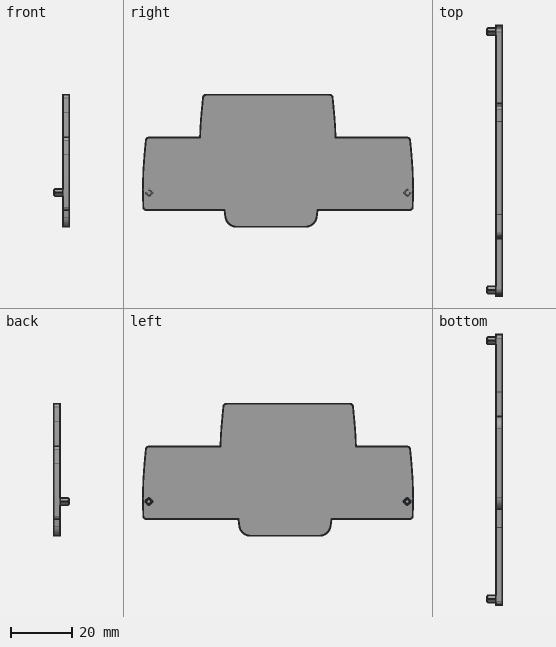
import cadquery as cq
import math

PLATE_THICKNESS = 2.1
PLATE_WIDTH = 88.22
PLATE_HEIGHT = 43.1
SIDE = PLATE_WIDTH / 2

LEAN_ANGLE = math.radians(5.5)
LEAN_RADIUS = 120.0
LEAN_ARC_HEIGHT = LEAN_RADIUS * math.sin(LEAN_ANGLE)

WING_BOTTOM = 5.45
WING_TOP = 29.15
WING_KNEE = 23.7

BLOCK_LEFT = -25.5
BLOCK_RIGHT = 18.85
BLOCK_KNEE = 37.4

TAB_LEFT = -17.5
TAB_RIGHT = 12.95
TAB_LEAN_ANGLE = math.radians(8.0)
TAB_RADIUS = 3.7

CORNER_RADIUS = 1.05

PEG_LENGTH = 3.0
PEG_DIAMETER = 2.45
PEG_FLATS = 1.8
PEG_TURN = 45.0
PEG_INSET = 1.97
PEG_HEIGHT = 11.2
PEG_TIP_CHAMFER = 0.5


def lean_inset(z, knee):
    """Distance a leaning side has moved inward from its widest point at height z."""
    if z > knee:
        return lean_inset(knee, knee) + (z - knee) * math.tan(LEAN_ANGLE)
    rise = z - (knee - LEAN_ARC_HEIGHT)
    return LEAN_RADIUS - math.sqrt(LEAN_RADIUS**2 - rise**2)


def side_points(bottom, knee, top):
    """(inset, z) at the start, middle and end of the arc and at the top of the line."""
    heights = (bottom, (bottom + knee) / 2, knee, top)
    return [(lean_inset(z, knee), z) for z in heights]


WING_SIDE = side_points(WING_BOTTOM, WING_KNEE, WING_TOP)
BLOCK_SIDE = side_points(WING_TOP, BLOCK_KNEE, PLATE_HEIGHT)
WING_TOP_INSET = WING_SIDE[-1][0]
WING_BOTTOM_INSET = WING_SIDE[0][0]
BLOCK_TOP_INSET = BLOCK_SIDE[-1][0]


def draw_right_side(outline, widest, points):
    start, middle, knee, top = [(widest - inset, z) for inset, z in points]
    return outline.lineTo(*start).threePointArc(middle, knee).lineTo(*top)


def draw_left_side(outline, widest, points):
    start, middle, knee, top = [(widest + inset, z) for inset, z in points]
    return outline.lineTo(*top).lineTo(*knee).threePointArc(middle, start)


def make_plate():
    tab_run = WING_BOTTOM * math.tan(TAB_LEAN_ANGLE)
    outline = cq.Workplane("YZ").moveTo(TAB_LEFT + tab_run, 0)
    outline = outline.lineTo(TAB_RIGHT - tab_run, 0).lineTo(TAB_RIGHT, WING_BOTTOM)
    outline = draw_right_side(outline, SIDE, WING_SIDE)
    outline = draw_right_side(outline, BLOCK_RIGHT, BLOCK_SIDE)
    outline = draw_left_side(outline, BLOCK_LEFT, BLOCK_SIDE)
    outline = draw_left_side(outline, -SIDE, WING_SIDE)
    outline = outline.lineTo(TAB_LEFT, WING_BOTTOM).close()
    return outline.extrude(PLATE_THICKNESS)


def round_corners(plate, corners, radius):
    for y, z in corners:
        middle_of_edge = (PLATE_THICKNESS / 2, y, z)
        nearest = cq.selectors.NearestToPointSelector(middle_of_edge)
        plate = plate.edges("|X").edges(nearest).fillet(radius)
    return plate


def make_peg(y):
    peg = cq.Workplane("YZ").center(y, PEG_HEIGHT).circle(PEG_DIAMETER / 2).extrude(-PEG_LENGTH)
    peg = peg.faces("<X").chamfer(PEG_TIP_CHAMFER)
    square = cq.Workplane("YZ").center(y, PEG_HEIGHT).transformed(rotate=(0, 0, PEG_TURN))
    return peg.intersect(square.rect(PEG_FLATS, PEG_FLATS).extrude(-PEG_LENGTH))


small_corners = [
    (SIDE - WING_BOTTOM_INSET, WING_BOTTOM),
    (SIDE - WING_TOP_INSET, WING_TOP),
    (BLOCK_RIGHT - BLOCK_TOP_INSET, PLATE_HEIGHT),
    (BLOCK_LEFT + BLOCK_TOP_INSET, PLATE_HEIGHT),
    (WING_TOP_INSET - SIDE, WING_TOP),
    (WING_BOTTOM_INSET - SIDE, WING_BOTTOM),
]
tab_corners = [(TAB_LEFT, 0), (TAB_RIGHT, 0)]

result = round_corners(make_plate(), small_corners, CORNER_RADIUS)
result = round_corners(result, tab_corners, TAB_RADIUS)
for peg_y in (SIDE - PEG_INSET, PEG_INSET - SIDE):
    result = result.union(make_peg(peg_y))